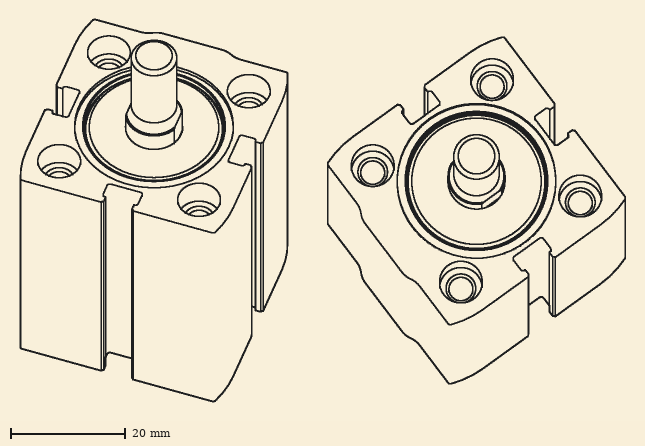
import cadquery as cq
import math

HALF_WIDTH = 19.25
HOUSING_HEIGHT = 46.9
SIDE_FLAT_HALF = 12.75
SIDE_ARC_RADIUS = 17.5
CORNER_RADIUS = 0.5

PAD_RISE = 1.0
PAD_HALF_FLAT = 5.4
PAD_BLEND_RADIUS = 4.0

SLOT_DEPTH = 4.4
SLOT_LIP = 1.35
SLOT_OPENING = 5.25
SLOT_WIDTH = 6.5
SLOT_ROOT_RADIUS = 0.5
SLOT_MOUTH_RADIUS = 0.3

HOLE_OFFSET = 13.0
HOLE_DIAMETER = 4.2
COUNTERBORE_DIAMETER = 7.5
COUNTERBORE_DEPTH = 5.0
COUNTERSINK_DIAMETER = 5.2

RECESS_RADIUS = 13.9
RECESS_DEPTH = 0.8
RIM_OUTER_RADIUS = 12.5
RIM_INNER_RADIUS = 12.25
CAP_RADIUS = 12.0
CAP_FACE_DEPTH = 0.3
CAP_BEVEL_WIDTH = 0.65
CAP_BEVEL_HEIGHT = 0.4
GROOVE_DEPTH = 1.0

ROD_TOP = 66.5
ROD_RADIUS = 5.0
ROD_INSERTION = 10.0
COLLAR_HEIGHT = 3.65
COLLAR_CHAMFER = 0.2
ACROSS_FLATS = 9.0
FLAT_RUNOUT = 0.3
FLAT_LENGTH = 5.5
NECK_RADIUS = 3.2
NECK_FILLET = 0.65
RELIEF_ANGLE = math.radians(55)
THREAD_RADIUS = 4.0
THREAD_LENGTH = 13.75
TIP_CHAMFER_HEIGHT = 0.65

ROD_BOTTOM = HOUSING_HEIGHT - ROD_INSERTION


def housing_block():
    """Extruded body: bowed sides and a blended pad on the rear face."""
    arc_rise = HALF_WIDTH - SIDE_FLAT_HALF
    bow_angle = math.asin(arc_rise / SIDE_ARC_RADIUS)
    corner_x = HALF_WIDTH - SIDE_ARC_RADIUS * (1 - math.cos(bow_angle))
    bow_mid_x = HALF_WIDTH - SIDE_ARC_RADIUS * (1 - math.cos(bow_angle / 2))
    bow_mid_y = SIDE_FLAT_HALF + SIDE_ARC_RADIUS * math.sin(bow_angle / 2)
    body = (
        cq.Workplane("XY")
        .moveTo(-corner_x, -HALF_WIDTH)
        .lineTo(corner_x, -HALF_WIDTH)
        .threePointArc((bow_mid_x, -bow_mid_y), (HALF_WIDTH, -SIDE_FLAT_HALF))
        .lineTo(HALF_WIDTH, SIDE_FLAT_HALF)
        .threePointArc((bow_mid_x, bow_mid_y), (corner_x, HALF_WIDTH))
        .lineTo(-corner_x, HALF_WIDTH)
        .threePointArc((-bow_mid_x, bow_mid_y), (-HALF_WIDTH, SIDE_FLAT_HALF))
        .lineTo(-HALF_WIDTH, -SIDE_FLAT_HALF)
        .threePointArc((-bow_mid_x, -bow_mid_y), (-corner_x, -HALF_WIDTH))
        .close()
        .extrude(HOUSING_HEIGHT)
    )
    return body.edges("|Z and (<Y or >Y)").fillet(CORNER_RADIUS).union(rear_pad())


def rear_pad():
    """Pad joined to the rear face by two equal, opposite arcs on each side."""
    half_rise = PAD_RISE / 2
    half_run = math.sqrt(2 * PAD_BLEND_RADIUS * half_rise - half_rise**2)
    top_y = HALF_WIDTH + PAD_RISE
    mid_x = PAD_HALF_FLAT + half_run
    mid_y = HALF_WIDTH + half_rise
    foot_x = mid_x + half_run
    half = (
        cq.Workplane("XY")
        .moveTo(0, top_y)
        .lineTo(PAD_HALF_FLAT, top_y)
        .tangentArcPoint((mid_x, mid_y), relative=False)
        .tangentArcPoint((foot_x, HALF_WIDTH), relative=False)
        .lineTo(foot_x, HALF_WIDTH - PAD_RISE)
        .lineTo(0, HALF_WIDTH - PAD_RISE)
        .close()
        .extrude(HOUSING_HEIGHT)
    )
    return half.union(half.mirror("YZ"))


def t_slot(turn):
    """T-slot cutter for the front face, turned about the rod axis by `turn` degrees."""
    floor_y = SLOT_DEPTH - HALF_WIDTH
    lip_y = SLOT_LIP - HALF_WIDTH
    channel = (
        cq.Workplane("XY")
        .rect(SLOT_WIDTH, floor_y - lip_y)
        .extrude(HOUSING_HEIGHT)
        .edges("|Z")
        .fillet(SLOT_ROOT_RADIUS)
        .translate((0, (floor_y + lip_y) / 2, 0))
    )
    half_mouth = SLOT_OPENING / 2
    flare = half_mouth + SLOT_MOUTH_RADIUS
    round_start_y = SLOT_MOUTH_RADIUS - HALF_WIDTH
    inner_y = (floor_y + lip_y) / 2
    mouth = (
        cq.Workplane("XY")
        .moveTo(-half_mouth, inner_y)
        .lineTo(-half_mouth, round_start_y)
        .radiusArc((-flare, -HALF_WIDTH), -SLOT_MOUTH_RADIUS)
        .lineTo(flare, -HALF_WIDTH)
        .radiusArc((half_mouth, round_start_y), -SLOT_MOUTH_RADIUS)
        .lineTo(half_mouth, inner_y)
        .close()
        .extrude(HOUSING_HEIGHT)
    )
    return channel.union(mouth).rotate((0, 0, 0), (0, 0, 1), turn)


def mounting_hole(x, y):
    """Cutter for a counterbored through hole with a countersunk step."""
    bore = HOLE_DIAMETER / 2
    sink = COUNTERSINK_DIAMETER / 2
    wide = COUNTERBORE_DIAMETER / 2
    step_z = HOUSING_HEIGHT - COUNTERBORE_DEPTH
    return (
        cq.Workplane("XZ")
        .moveTo(0, 0)
        .lineTo(bore, 0)
        .lineTo(bore, step_z - (sink - bore))
        .lineTo(sink, step_z)
        .lineTo(wide, step_z)
        .lineTo(wide, HOUSING_HEIGHT)
        .lineTo(0, HOUSING_HEIGHT)
        .close()
        .revolve(360, (0, 0, 0), (0, 1, 0))
        .translate((x, y, 0))
    )


def cap_recess():
    """Cutter that leaves the conical ring, narrow groove and bevelled cap face around the rod."""
    top = HOUSING_HEIGHT
    cap_face_z = top - CAP_FACE_DEPTH
    groove_z = top - GROOVE_DEPTH
    return (
        cq.Workplane("XZ")
        .moveTo(0, top)
        .lineTo(RECESS_RADIUS, top)
        .lineTo(RECESS_RADIUS, top - RECESS_DEPTH)
        .lineTo(RIM_OUTER_RADIUS, top)
        .lineTo(RIM_INNER_RADIUS, top)
        .lineTo(RIM_INNER_RADIUS, groove_z)
        .lineTo(CAP_RADIUS, groove_z)
        .lineTo(CAP_RADIUS, cap_face_z - CAP_BEVEL_HEIGHT)
        .lineTo(CAP_RADIUS - CAP_BEVEL_WIDTH, cap_face_z)
        .lineTo(0, cap_face_z)
        .close()
        .revolve(360, (0, 0, 0), (0, 1, 0))
    )


def make_rod():
    """Turned rod: plain shank, collar with two wrench flats, neck and threaded end."""
    collar_z = HOUSING_HEIGHT + COLLAR_HEIGHT
    thread_z = ROD_TOP - THREAD_LENGTH
    blend_radius = NECK_RADIUS + NECK_FILLET * (1 - math.cos(RELIEF_ANGLE))
    blend_z = thread_z - (THREAD_RADIUS - blend_radius) / math.tan(RELIEF_ANGLE)
    neck_top_z = blend_z - NECK_FILLET * math.sin(RELIEF_ANGLE)
    rod = (
        cq.Workplane("XZ")
        .moveTo(0, ROD_BOTTOM)
        .lineTo(ROD_RADIUS, ROD_BOTTOM)
        .lineTo(ROD_RADIUS, collar_z - COLLAR_CHAMFER)
        .lineTo(ROD_RADIUS - COLLAR_CHAMFER, collar_z)
        .lineTo(NECK_RADIUS + NECK_FILLET, collar_z)
        .radiusArc((NECK_RADIUS, collar_z + NECK_FILLET), NECK_FILLET)
        .lineTo(NECK_RADIUS, neck_top_z)
        .radiusArc((blend_radius, blend_z), NECK_FILLET)
        .lineTo(THREAD_RADIUS, thread_z)
        .lineTo(THREAD_RADIUS, ROD_TOP - TIP_CHAMFER_HEIGHT)
        .lineTo(NECK_RADIUS, ROD_TOP)
        .lineTo(0, ROD_TOP)
        .close()
        .revolve(360, (0, 0, 0), (0, 1, 0))
    )
    for side in (-1, 1):
        rod = rod.cut(wrench_flat(side, collar_z))
    return rod


def wrench_flat(side, collar_z):
    """Cutter for one wrench flat, which slopes out to the full diameter at its lower end."""
    flat_x = side * ACROSS_FLATS / 2
    outer_x = side * ROD_RADIUS
    flat_end_z = collar_z - FLAT_LENGTH
    return (
        cq.Workplane("XZ")
        .moveTo(flat_x, collar_z)
        .lineTo(outer_x, collar_z)
        .lineTo(outer_x, flat_end_z - FLAT_RUNOUT)
        .lineTo(flat_x, flat_end_z)
        .close()
        .extrude(ROD_RADIUS, both=True)
    )


housing = housing_block()
for turn in (-90, 0, 90):
    housing = housing.cut(t_slot(turn))
for x_side in (-1, 1):
    for y_side in (-1, 1):
        housing = housing.cut(mounting_hole(x_side * HOLE_OFFSET, y_side * HOLE_OFFSET))
housing = housing.cut(cap_recess())
rod_guide = cq.Workplane("XY").workplane(offset=ROD_BOTTOM).circle(ROD_RADIUS).extrude(ROD_INSERTION)
housing = housing.cut(rod_guide)

rod = make_rod()

result = cq.Compound.makeCompound([housing.val(), rod.val()])